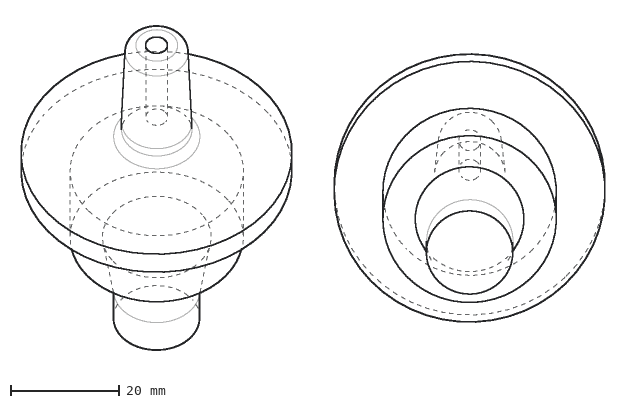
import cadquery as cq
import math

flange_diameter = 50.0
body_diameter = 32.0
taper_top_diameter = 20.1
tail_diameter = 15.95
peg_base_diameter = 13.0
peg_tip_diameter = 11.55
bore_diameter = 4.0

tail_top = 7.75
taper_top = 22.6
flange_bottom = 41.05
flange_top = 46.05
peg_taper_start = 54.6
total_height = 76.0

flange_slope = 15.0
fillet_radius = 2.0
bore_depth = 20.0

slope_rise = (flange_diameter - peg_base_diameter) / 2 * math.tan(math.radians(flange_slope))
peg_root = flange_top + slope_rise


def turned_body():
    """Revolve the half outline (radius, height) about the Z axis."""
    return (
        cq.Workplane("XZ")
        .lineTo(tail_diameter / 2, 0)
        .lineTo(tail_diameter / 2, tail_top)
        .lineTo(taper_top_diameter / 2, taper_top)
        .lineTo(body_diameter / 2, taper_top)
        .lineTo(body_diameter / 2, flange_bottom)
        .lineTo(flange_diameter / 2, flange_bottom)
        .lineTo(flange_diameter / 2, flange_top)
        .lineTo(peg_base_diameter / 2, peg_root)
        .lineTo(peg_base_diameter / 2, peg_taper_start)
        .lineTo(peg_tip_diameter / 2, total_height)
        .lineTo(0, total_height)
        .close()
        .revolve(360, (0, 0, 0), (0, 1, 0))
    )


def round_peg(body):
    """Blend the peg into the flange and round off its tip."""
    rounded = body.faces(">Z").edges().fillet(fillet_radius)
    margin = 0.1
    root_box = cq.selectors.BoxSelector(
        (-peg_base_diameter, -peg_base_diameter, peg_root - margin),
        (peg_base_diameter, peg_base_diameter, peg_root + margin),
    )
    return rounded.edges(root_box).fillet(fillet_radius)


result = round_peg(turned_body()).faces(">Z").workplane().hole(bore_diameter, bore_depth)